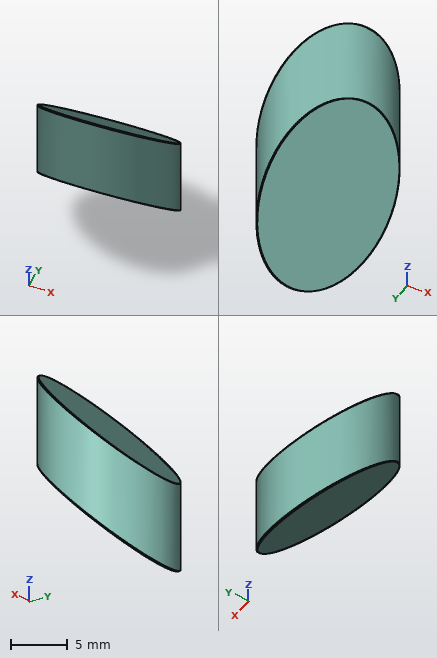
import cadquery as cq
import math

diameter = 12.7
height = 20.9
bevel = 0.08

radius = diameter / 2
inner_radius = radius - bevel

face_shift = bevel / math.sqrt(2)
face_slope = 1.0
wall_slope = inner_radius / radius

face_top = height / 2
face_height = face_top - face_slope * inner_radius
ball_path_height = face_height - face_shift
wall_height = ball_path_height


def rim(end, plan_radius, shift, centre_height, slope):
    """Ellipse that is a circle seen along Z; end is 1 for the upper end, -1 for the lower."""
    return cq.Wire.makeEllipse(
        plan_radius * math.hypot(1, slope),
        plan_radius,
        cq.Vector(0, end * shift, end * centre_height),
        cq.Vector(0, slope, 1),
        cq.Vector(0, 1, -slope),
    )


def face_rim(end):
    return rim(end, inner_radius, face_shift, face_height, face_slope)


def wall_rim(end):
    return rim(end, radius, 0, wall_height, wall_slope)


mirror = cq.Solid.makeLoft([face_rim(-1), wall_rim(-1), wall_rim(1), face_rim(1)], True)

result = cq.Workplane("XY").newObject([mirror])